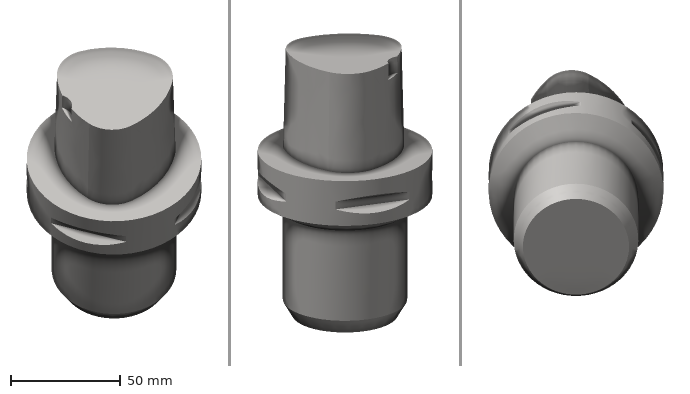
import cadquery as cq
import math

total_height = 128.0
flange_top = 80.0
flange_edge_bottom = 58.1
slot_height = 68.0
bottom_chamfer_height = 7.3

flange_radius = 80.0 / 2
body_radius = 57.1 / 2
cone_slope = math.tan(math.radians(30))

lobe_reach = 29.5
side_reach = 25.5
lobe_radius = 17.2
shank_taper = math.degrees(math.atan(1 / 40))

slot_count = 4
first_slot_angle = 45
slot_depth = 4.4
slot_floor_width = 3.7
slot_flare = math.tan(math.radians(30))

notch_radius = 7.0
notch_depth = 8.0
notch_innermost = 22.1


def polar(radius, degrees):
    angle = math.radians(degrees)
    return radius * math.cos(angle), radius * math.sin(angle)


def make_body():
    flange_cone_height = (flange_radius - body_radius) * cone_slope
    bottom_radius = body_radius - bottom_chamfer_height * cone_slope
    return (
        cq.Workplane("XZ")
        .lineTo(bottom_radius, 0)
        .lineTo(body_radius, bottom_chamfer_height)
        .lineTo(body_radius, flange_edge_bottom - flange_cone_height)
        .lineTo(flange_radius, flange_edge_bottom)
        .lineTo(flange_radius, flange_top)
        .lineTo(0, flange_top)
        .close()
        .revolve(360, (0, 0, 0), (0, 1, 0))
    )


def make_shank():
    lobe_offset = lobe_reach - lobe_radius
    reach_gap = side_reach - lobe_radius
    side_offset = (lobe_offset**2 - reach_gap**2) / (2 * reach_gap - lobe_offset)
    side_radius = side_offset + side_reach

    lobe_across, lobe_along = polar(lobe_offset, 30)
    joint_angle = math.degrees(math.atan2(lobe_across, side_offset + lobe_along))

    def side_joint(side_angle, sign):
        center_x, center_y = polar(-side_offset, side_angle)
        joint_x, joint_y = polar(side_radius, side_angle + sign * joint_angle)
        return center_x + joint_x, center_y + joint_y

    outline = cq.Workplane("XY").workplane(offset=flange_top).moveTo(*side_joint(30, -1))
    for side_angle in (30, 150, 270):
        outline = outline.threePointArc(polar(side_reach, side_angle), side_joint(side_angle, 1))
        next_side_start = side_joint(side_angle + 120, -1)
        outline = outline.threePointArc(polar(lobe_reach, side_angle + 60), next_side_start)
    return outline.close().extrude(total_height - flange_top, taper=shank_taper)


def make_slot_cutter():
    floor_radius = flange_radius - slot_depth
    floor_half = slot_floor_width / 2
    mouth_half = floor_half + slot_depth * slot_flare
    return (
        cq.Workplane("XZ")
        .polyline([
            (floor_radius, slot_height - floor_half),
            (flange_radius, slot_height - mouth_half),
            (flange_radius, slot_height + mouth_half),
            (floor_radius, slot_height + floor_half),
        ])
        .close()
        .extrude(flange_radius, both=True)
    )


def make_notch_cutter():
    return (
        cq.Workplane("XY")
        .workplane(offset=total_height - notch_depth)
        .center(0, -notch_innermost - notch_radius)
        .circle(notch_radius)
        .extrude(notch_depth)
    )


result = make_body().union(make_shank()).cut(make_notch_cutter())
for index in range(slot_count):
    slot_angle = first_slot_angle + index * 360 / slot_count
    result = result.cut(make_slot_cutter().rotate((0, 0, 0), (0, 0, 1), slot_angle))